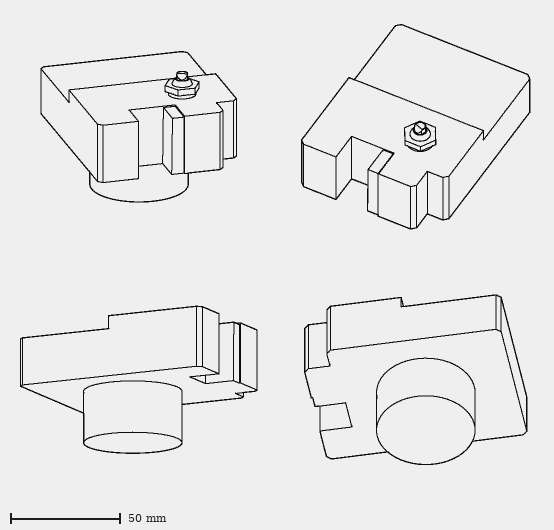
import cadquery as cq
import math

length = 93.0
width = 70.0
low_height = 22.0
high_height = 28.1
step_x = 46.0
corner_chamfer = 2.0

spigot_diameter = 45.0
spigot_length = 24.0
spigot_x = 40.9

notch_length = 12.1
notch_width = 10.1

slot_depth = 14.9
slot_top_y = width / 2 - 29.1
slot_width = 21.95
tab_top_width = 5.6
tab_bottom_width = 5.95
tab_setback = 0.65
tab_drop = 0.65

spindle_x = 65.9
spindle_y = width / 2 - 22.0
collar_diameter = 12.6
collar_height = 2.0
nut_across_flats = 14.0
nut_height = 3.0
dome_base_diameter = 9.3
dome_top_diameter = 6.1
dome_height = 2.4
tip_diameter = 5.4
tip_top_chamfer = 0.4
overall_height = 62.3

tip_across_flats = 4.8
tip_turn = -20.0
slope_angle = 50.0
slope_start = 0.7


def box_between(x0, x1, y0, y1, z0, z1):
    size = (x1 - x0, y1 - y0, z1 - z0)
    return cq.Workplane("XY").box(*size, centered=False).translate((x0, y0, z0))


def cylinder(diameter, height, x, y, z):
    return cq.Workplane("XY").circle(diameter / 2).extrude(height).translate((x, y, z))


def make_tab():
    """Tab on the slot's +Y wall, slightly wider at the bottom than at the top."""
    tab_height = high_height - tab_drop
    section = [
        (slot_top_y, 0),
        (slot_top_y - tab_bottom_width, 0),
        (slot_top_y - tab_top_width, tab_height),
        (slot_top_y, tab_height),
    ]
    tab = cq.Workplane("YZ").polyline(section).close().extrude(slot_depth - tab_setback)
    return tab.translate((length - slot_depth, 0, 0))


def make_block():
    notch_x = length - notch_length
    notch_y = width / 2 - notch_width
    profile = [
        (0, -width / 2),
        (length, -width / 2),
        (length, notch_y),
        (notch_x, notch_y),
        (notch_x, width / 2),
        (0, width / 2),
    ]
    block = cq.Workplane("XY").polyline(profile).close().extrude(high_height)
    inner_corner = cq.selectors.NearestToPointSelector((notch_x, notch_y, high_height / 2))
    outer_corners = cq.StringSyntaxSelector("|Z") - inner_corner
    block = block.edges(outer_corners).chamfer(corner_chamfer)
    step = box_between(0, step_x, -width / 2, width / 2, low_height, high_height)
    slot_x = length - slot_depth
    slot = box_between(slot_x, length, slot_top_y - slot_width, slot_top_y, 0, high_height)
    return block.cut(step).cut(slot).union(make_tab())


def make_spigot():
    return cylinder(spigot_diameter, spigot_length, spigot_x, 0, -spigot_length)


def make_dome():
    """Zone of a sphere whose centre lies below the dome's base."""
    base_radius = dome_base_diameter / 2
    top_radius = dome_top_diameter / 2
    centre_depth = (base_radius**2 - top_radius**2 - dome_height**2) / (2 * dome_height)
    sphere_radius = math.hypot(base_radius, centre_depth)
    middle_z = dome_height / 2
    middle_radius = math.sqrt(sphere_radius**2 - (centre_depth + middle_z) ** 2)
    return (
        cq.Workplane("XZ")
        .lineTo(base_radius, 0)
        .threePointArc((middle_radius, middle_z), (top_radius, dome_height))
        .lineTo(0, dome_height)
        .close()
        .revolve(360, (0, 0, 0), (0, 1, 0))
    )


def make_tip(base_z):
    height = overall_height - spigot_length - base_z
    tip = cq.Workplane("XY").circle(tip_diameter / 2).extrude(height)
    tip = tip.faces(">Z").chamfer(tip_top_chamfer)
    side_flats = cq.Workplane("XY").rect(2 * tip_diameter, tip_across_flats).extrude(height)
    slope_cutter = (
        cq.Workplane("XY")
        .box(2 * tip_diameter, 2 * tip_diameter, tip_diameter, centered=(True, True, False))
        .rotate((0, 0, 0), (0, 1, 0), slope_angle)
        .translate((slope_start, 0, height))
    )
    tip = tip.intersect(side_flats).cut(slope_cutter)
    tip = tip.rotate((0, 0, 0), (0, 0, 1), tip_turn)
    return tip.translate((spindle_x, spindle_y, base_z))


def make_spindle():
    nut_z = high_height + collar_height
    dome_z = nut_z + nut_height
    collar = cylinder(collar_diameter, collar_height, spindle_x, spindle_y, high_height)
    nut = cq.Workplane("XY").polygon(6, nut_across_flats / math.cos(math.pi / 6)).extrude(nut_height)
    nut = nut.rotate((0, 0, 0), (0, 0, 1), 30).translate((spindle_x, spindle_y, nut_z))
    dome = make_dome().translate((spindle_x, spindle_y, dome_z))
    return collar.union(nut).union(dome).union(make_tip(dome_z + dome_height))


result = make_block().union(make_spigot()).union(make_spindle())